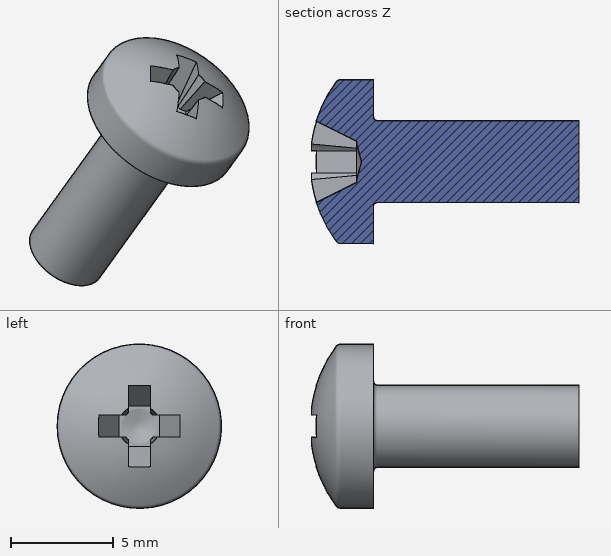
import cadquery as cq
import math

overall_length = 13.02
head_diameter = 8.0
shank_diameter = 4.0
shank_length = 9.99
dome_radius = 6.51
rim_fillet = 0.3
neck_fillet = 0.2

wing_width = 1.07
wing_reach = 1.98
wing_floor_reach = 0.99
core_mouth_radius = 1.02
core_floor_radius = 0.85
wing_depth = 1.98
tip_angle = 15.0


def dome_drop(radius):
    """Distance along X from the dome apex to the dome at a given radius."""
    return dome_radius - math.sqrt(dome_radius**2 - radius**2)


head_start_x = shank_length - overall_length
apex_x = head_start_x - dome_drop(core_mouth_radius)
wing_mouth_x = apex_x + dome_drop(wing_reach)
floor_x = wing_mouth_x + wing_depth


def make_screw_body():
    head_radius = head_diameter / 2
    shank_radius = shank_diameter / 2
    neck_radius = shank_radius + neck_fillet
    dome_center_x = apex_x + dome_radius

    rim_center_radius = head_radius - rim_fillet
    center_distance = dome_radius - rim_fillet
    rim_center_x = dome_center_x - math.sqrt(center_distance**2 - rim_center_radius**2)
    rim_angle = math.asin(rim_center_radius / center_distance)

    def dome_point(angle):
        return (dome_center_x - dome_radius * math.cos(angle), dome_radius * math.sin(angle))

    rim_mid_angle = (rim_angle + math.pi / 2) / 2
    rim_mid = (
        rim_center_x - rim_fillet * math.cos(rim_mid_angle),
        rim_center_radius + rim_fillet * math.sin(rim_mid_angle),
    )
    neck_mid_offset = neck_fillet * (1 - math.sqrt(0.5))
    neck_mid = (neck_mid_offset, shank_radius + neck_mid_offset)

    profile = (
        cq.Workplane("XY")
        .moveTo(apex_x, 0)
        .threePointArc(dome_point(rim_angle / 2), dome_point(rim_angle))
        .threePointArc(rim_mid, (rim_center_x, head_radius))
        .lineTo(0, head_radius)
        .lineTo(0, neck_radius)
        .threePointArc(neck_mid, (neck_fillet, shank_radius))
        .lineTo(shank_length, shank_radius)
        .lineTo(shank_length, 0)
        .close()
    )
    return profile.revolve(360, (0, 0, 0), (1, 0, 0))


def make_wing_pair():
    """Tapered slot across the head, reaching along +Y and -Y."""
    taper = (wing_reach - wing_floor_reach) / wing_depth
    apex_reach = wing_reach + taper * (wing_mouth_x - apex_x)
    return (
        cq.Workplane("XY")
        .polyline([
            (apex_x, -apex_reach),
            (floor_x, -wing_floor_reach),
            (floor_x, wing_floor_reach),
            (apex_x, apex_reach),
        ])
        .close()
        .extrude(wing_width / 2, both=True)
    )


def make_core():
    """Conical center of the recess, ending in a blunt conical tip."""
    taper = (core_mouth_radius - core_floor_radius) / (floor_x - head_start_x)
    apex_radius = core_mouth_radius + taper * (head_start_x - apex_x)
    tip_depth = core_floor_radius * math.tan(math.radians(tip_angle))
    return (
        cq.Workplane("XY")
        .polyline([
            (apex_x, 0),
            (apex_x, apex_radius),
            (floor_x, core_floor_radius),
            (floor_x + tip_depth, 0),
        ])
        .close()
        .revolve(360, (0, 0, 0), (1, 0, 0))
    )


result = make_screw_body()
for turn in (0, 90):
    result = result.cut(make_wing_pair().rotate((0, 0, 0), (1, 0, 0), turn))
result = result.cut(make_core())